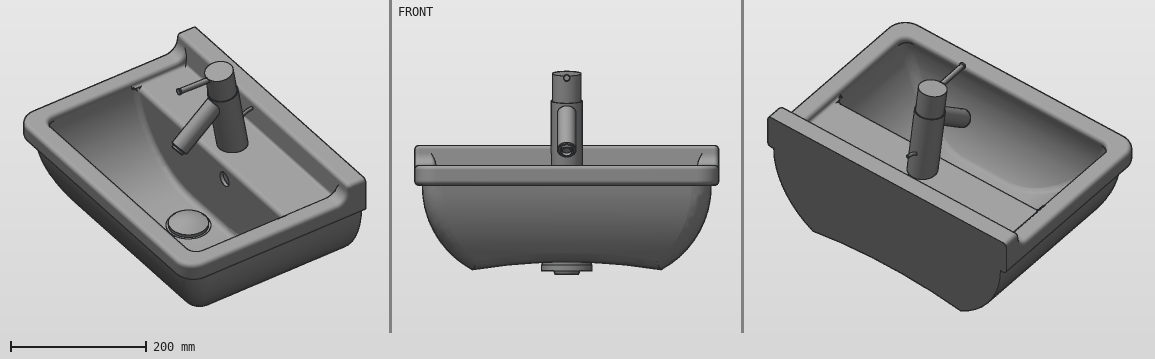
import cadquery as cq
import math


BASIN_WIDTH = 450
BASIN_DEPTH = 320.0
RIM_HEIGHT = 29.5
RIM_CORNER_RADIUS = 31.5
EDGE_RADIUS = 6.8
SPLASH_HEIGHT = 29.5
SPLASH_DRAFT = 7
COVE_RADIUS = 20.0
COVE_END = 51.8
COVE_TOP = COVE_RADIUS * (1 - math.sin(math.radians(SPLASH_DRAFT)))

SHELL_HALF_WIDTH = 213.8
SHELL_BULGE_X = 194.0
SHELL_BULGE_Z = -102.0
RIDGE_X = 139.5
RIDGE_Z = -154.5
BELLY_Z = -142.5
SHELL_FRONT = 306
SHELL_FRONT_MIDDLE = 288.5
SHELL_FRONT_MIDDLE_Z = -96.5
SHELL_FRONT_FOOT = 249.8
SHELL_CORNER_RADIUS = 29.2

OPENING_HALF_WIDTH = 193.5
OPENING_FRONT = 288
OPENING_CORNER_RADIUS = 15.8
DECK_Z = -9.5
DECK_FILLET = 4.5
DECK_FRONT = 123.8
DECK_LIP_RADIUS = 7.5
FLOOR_Z = -128.2
FLOOR_HALF_WIDTH = 47.2
FLOOR_SIDE_RADIUS = 150.8
BOWL_FRONT_RADIUS = 130.5
BOWL_FRONT_FOOT = 236.2
BOWL_SEAM_RADIUS = 13.5
BOWL_WALL_FILLET = 9.5

OVERFLOW_DIAMETER = 23.5
OVERFLOW_DEPTH = 6.0
OVERFLOW_X = 35.5
OVERFLOW_Z = -37.0

TAP_Y = -86.5
TAP_TILT = 9.5
TAP_DIAMETER = 46.0
TAP_LENGTH = 96.8
CAP_DIAMETER = 42.8
CAP_LENGTH = 41.0

SPOUT_DIAMETER = 28.0
SPOUT_SLOPE = 40
SPOUT_END_Y = -181.0
SPOUT_END_Z = 22.5
SPOUT_LENGTH = 85.5
SPOUT_END_CHAMFER = 1.5
AERATOR_DIAMETER = 20.0
AERATOR_BORE = 15.0
AERATOR_REACH = 4.0
AERATOR_BORE_DEPTH = 6.8

LEVER_DIAMETER = 8.0
LEVER_SLOPE = 1.5
LEVER_START_Y = -117
LEVER_START_Z = 128.0
LEVER_LENGTH = 65.0
LEVER_TIP_DIAMETER = 9.5
LEVER_TIP_LENGTH = 2.5
ROD_DIAMETER = 5.0
ROD_END = (-49.5, 41.0)
ROD_BEND = (-60.5, 38.5)
ROD_FOOT = (-74.2, 26.0)

DRAIN_Y = -164.0
DRAIN_RING_DIAMETER = 66.5
DRAIN_RING_HEIGHT = 4.5
DRAIN_TUBE_DIAMETER = 52.0
DRAIN_SHOULDER_DIAMETER = 73.0
DRAIN_FLANGE_DIAMETER = 75.0
DRAIN_FLANGE_TOP = -147.0
DRAIN_FLANGE_BOTTOM = -156.0
NUT_TOP_DIAMETER = 38.2
NUT_END_DIAMETER = 35.0
NUT_BOTTOM = -161.0
PLUG_DIAMETER = 60.0
PLUG_SEAT_DEPTH = 2.2
PLUG_EDGE_HEIGHT = 5.0
PLUG_DOME_HEIGHT = 6.8


def nearest_to(x, y, z):
    return cq.selectors.NearestToPointSelector((x, y, z))


def cylinder(start, axis, diameter, length):
    return cq.Workplane(cq.Solid.makeCylinder(diameter / 2, length, start, axis))


def splash_face(z):
    """Depth of the sloped splash-back face at height z; it runs tangent into the cove."""
    draft = math.radians(SPLASH_DRAFT)
    tangent_depth = COVE_END - COVE_RADIUS * math.cos(draft)
    return tangent_depth + (COVE_TOP - z) * math.tan(draft)


def side_profile(outline):
    """Close an outline in the YZ plane and extrude it over the full basin width."""
    return outline.close().extrude(BASIN_WIDTH / 2, both=True)


def rim_block():
    """Rim slab with the raised splash-back; a cove leads from one to the other."""
    rim = side_profile(
        cq.Workplane("YZ")
        .moveTo(0, SPLASH_HEIGHT)
        .lineTo(-splash_face(SPLASH_HEIGHT), SPLASH_HEIGHT)
        .lineTo(-splash_face(COVE_TOP), COVE_TOP)
        .radiusArc((-COVE_END, 0), COVE_RADIUS)
        .lineTo(-BASIN_DEPTH, 0)
        .lineTo(-BASIN_DEPTH, -RIM_HEIGHT)
        .lineTo(0, -RIM_HEIGHT)
    )
    rim = rim.edges("|Z and <Y").fillet(RIM_CORNER_RADIUS)
    rim = rim.edges(nearest_to(0, -splash_face(SPLASH_HEIGHT), SPLASH_HEIGHT)).fillet(EDGE_RADIUS)
    rim = rim.faces("<Z").edges("not >Y").fillet(EDGE_RADIUS)
    return rim.edges(nearest_to(0, -BASIN_DEPTH, 0)).fillet(EDGE_RADIUS)


def bowl_shell():
    """Solid underside: a cross-section with a hollow belly, cut to a curved front."""
    section = (
        cq.Workplane("XZ")
        .moveTo(-SHELL_HALF_WIDTH, -RIM_HEIGHT)
        .threePointArc((-SHELL_BULGE_X, SHELL_BULGE_Z), (-RIDGE_X, RIDGE_Z))
        .threePointArc((0, BELLY_Z), (RIDGE_X, RIDGE_Z))
        .threePointArc((SHELL_BULGE_X, SHELL_BULGE_Z), (SHELL_HALF_WIDTH, -RIM_HEIGHT))
        .close()
        .extrude(BASIN_DEPTH)
    )
    front = side_profile(
        cq.Workplane("YZ")
        .moveTo(0, -RIM_HEIGHT)
        .lineTo(-SHELL_FRONT, -RIM_HEIGHT)
        .threePointArc((-SHELL_FRONT_MIDDLE, SHELL_FRONT_MIDDLE_Z), (-SHELL_FRONT_FOOT, RIDGE_Z))
        .lineTo(0, RIDGE_Z)
    )
    return section.intersect(front).edges("not(|Y or >Y or >Z)").fillet(SHELL_CORNER_RADIUS)


def opening(back):
    """Recess of deck depth, from the given distance off the wall to the front of the opening."""
    return (
        cq.Workplane("XY", origin=(0, 0, DECK_Z))
        .moveTo(0, -(back + OPENING_FRONT) / 2)
        .rect(2 * OPENING_HALF_WIDTH, OPENING_FRONT - back)
        .extrude(SPLASH_HEIGHT - DECK_Z)
        .edges("|Z and <Y")
        .fillet(OPENING_CORNER_RADIUS)
    )


def bowl_cavity():
    """Inside of the bowl: flat floor strip, rising sides, curved front, upright rear wall."""
    section = (
        cq.Workplane("XZ")
        .moveTo(-FLOOR_HALF_WIDTH, FLOOR_Z)
        .lineTo(FLOOR_HALF_WIDTH, FLOOR_Z)
        .radiusArc((OPENING_HALF_WIDTH, DECK_Z), -FLOOR_SIDE_RADIUS)
        .lineTo(-OPENING_HALF_WIDTH, DECK_Z)
        .radiusArc((-FLOOR_HALF_WIDTH, FLOOR_Z), -FLOOR_SIDE_RADIUS)
        .close()
        .extrude(BASIN_DEPTH)
    )
    front = side_profile(
        cq.Workplane("YZ")
        .moveTo(-DECK_FRONT, DECK_Z)
        .lineTo(-OPENING_FRONT, DECK_Z)
        .radiusArc((-BOWL_FRONT_FOOT, FLOOR_Z), -BOWL_FRONT_RADIUS)
        .lineTo(-DECK_FRONT, FLOOR_Z)
    )
    cavity = section.intersect(front)
    cavity = cavity.edges("not(|X or |Y or >Y or >Z)").fillet(BOWL_SEAM_RADIUS)
    return cavity.faces(">Y").edges("not >Z").fillet(BOWL_WALL_FILLET)


def splash_bar(rim):
    """Middle stretch of the splash-back, from the deck up, behind the sloped face."""
    behind_face = (
        cq.Workplane("YZ")
        .moveTo(0, SPLASH_HEIGHT)
        .lineTo(-splash_face(SPLASH_HEIGHT), SPLASH_HEIGHT)
        .lineTo(-splash_face(DECK_Z), DECK_Z)
        .lineTo(0, DECK_Z)
        .close()
        .extrude(OPENING_HALF_WIDTH + EDGE_RADIUS, both=True)
    )
    return rim.intersect(behind_face)


def overflow_recess():
    centre = cq.Vector(OVERFLOW_X, -DECK_FRONT, OVERFLOW_Z)
    return cylinder(centre, cq.Vector(0, 1, 0), OVERFLOW_DIAMETER, OVERFLOW_DEPTH)


def make_basin():
    rim = rim_block()
    basin = rim.union(bowl_shell()).cut(opening(0))
    basin = basin.edges(nearest_to(0, -OPENING_FRONT, 0)).fillet(EDGE_RADIUS)
    basin = basin.union(splash_bar(rim))
    deck_outline = basin.faces(nearest_to(0, -DECK_FRONT, DECK_Z)).edges("not <Y")
    basin = deck_outline.fillet(DECK_FILLET)
    basin = basin.cut(opening(DECK_FRONT + BOWL_WALL_FILLET)).cut(bowl_cavity())
    basin = basin.edges(nearest_to(0, -DECK_FRONT, DECK_Z)).fillet(DECK_LIP_RADIUS)
    return basin.cut(overflow_recess())


def tilted(degrees):
    """Direction in the YZ plane, leaning from straight up towards the front."""
    angle = math.radians(degrees)
    return cq.Vector(0, -math.sin(angle), math.cos(angle))


TAP_AXIS = tilted(TAP_TILT)
TAP_BASE = cq.Vector(0, TAP_Y, 0)
TAP_TOP = TAP_BASE + TAP_AXIS * TAP_LENGTH
SPOUT_AXIS = tilted(90 + SPOUT_SLOPE)
SPOUT_END = cq.Vector(0, SPOUT_END_Y, SPOUT_END_Z)


def make_tap_column():
    """Tilted column standing flat on the deck, with its top square to its axis."""
    foot_overrun = TAP_DIAMETER / 2
    start = TAP_BASE - TAP_AXIS * foot_overrun
    column = cylinder(start, TAP_AXIS, TAP_DIAMETER, TAP_LENGTH + foot_overrun)
    below_deck = (
        cq.Workplane("XY", origin=(0, TAP_Y, DECK_Z))
        .rect(2 * TAP_DIAMETER, 2 * TAP_DIAMETER)
        .extrude(-2 * TAP_DIAMETER)
    )
    return column.cut(below_deck)


def make_spout():
    """Sloping tube whose narrower, bored tip is the aerator."""
    root = SPOUT_END - SPOUT_AXIS * SPOUT_LENGTH
    tip = SPOUT_END + SPOUT_AXIS * AERATOR_REACH
    bore_start = tip - SPOUT_AXIS * AERATOR_BORE_DEPTH
    tube = cylinder(root, SPOUT_AXIS, SPOUT_DIAMETER, SPOUT_LENGTH)
    aerator = cylinder(SPOUT_END, SPOUT_AXIS, AERATOR_DIAMETER, AERATOR_REACH)
    bore = cylinder(bore_start, SPOUT_AXIS, AERATOR_BORE, AERATOR_BORE_DEPTH)
    tube = tube.edges("<Y").chamfer(SPOUT_END_CHAMFER)
    return tube.union(aerator).cut(bore)


def make_cap():
    return cylinder(TAP_TOP, TAP_AXIS, CAP_DIAMETER, CAP_LENGTH)


def make_lever():
    """Rod sunk into the cap, with a slightly thicker tip."""
    axis = tilted(90 - LEVER_SLOPE)
    start = cq.Vector(0, LEVER_START_Y, LEVER_START_Z)
    tip_start = start + axis * (LEVER_LENGTH - LEVER_TIP_LENGTH)
    shaft = cylinder(start, axis, LEVER_DIAMETER, LEVER_LENGTH)
    tip = cylinder(tip_start, axis, LEVER_TIP_DIAMETER, LEVER_TIP_LENGTH)
    return shaft.union(tip)


def make_popup_rod():
    path = cq.Workplane("YZ").moveTo(*ROD_END).threePointArc(ROD_BEND, ROD_FOOT)
    start = cq.Workplane("XZ", origin=(0, *ROD_END))
    return start.circle(ROD_DIAMETER / 2).sweep(path)


def drain_disc(top, bottom, diameter):
    return cylinder(cq.Vector(0, DRAIN_Y, bottom), cq.Vector(0, 0, 1), diameter, top - bottom)


def make_plug():
    """Domed stopper seated in the drain ring, its edge standing above the floor."""
    radius = PLUG_DIAMETER / 2
    seat = FLOOR_Z - PLUG_SEAT_DEPTH
    edge = FLOOR_Z + PLUG_EDGE_HEIGHT
    dome_radius = (radius**2 + PLUG_DOME_HEIGHT**2) / (2 * PLUG_DOME_HEIGHT)
    return (
        cq.Workplane("XZ", origin=(0, DRAIN_Y, 0))
        .moveTo(0, seat)
        .lineTo(radius, seat)
        .lineTo(radius, edge)
        .radiusArc((0, edge + PLUG_DOME_HEIGHT), -dome_radius)
        .close()
        .revolve(360, (0, 0, 0), (0, 1, 0))
    )


def make_drain():
    """Ring in the floor, tube through it, flange under the belly and a tapered nut."""
    ring = drain_disc(FLOOR_Z, FLOOR_Z - DRAIN_RING_HEIGHT, DRAIN_RING_DIAMETER)
    tube = drain_disc(FLOOR_Z, DRAIN_FLANGE_BOTTOM, DRAIN_TUBE_DIAMETER)
    shoulder = drain_disc(BELLY_Z, DRAIN_FLANGE_TOP, DRAIN_SHOULDER_DIAMETER)
    flange = drain_disc(DRAIN_FLANGE_TOP, DRAIN_FLANGE_BOTTOM, DRAIN_FLANGE_DIAMETER)
    nut = (
        cq.Workplane("XY", origin=(0, DRAIN_Y, DRAIN_FLANGE_BOTTOM))
        .circle(NUT_TOP_DIAMETER / 2)
        .workplane(offset=NUT_BOTTOM - DRAIN_FLANGE_BOTTOM)
        .circle(NUT_END_DIAMETER / 2)
        .loft()
    )
    return ring.union(tube).union(shoulder).union(flange).union(nut)


lever = make_lever()
popup_rod = make_popup_rod()
cap = make_cap().cut(lever)
column = make_tap_column()
spout = make_spout().cut(column)
column = column.cut(popup_rod)
plug = make_plug()
drain = make_drain().cut(plug)
basin = make_basin().cut(drain).cut(plug)

result = cq.Compound.makeCompound(
    [
        basin.val(),
        column.val(),
        spout.val(),
        cap.val(),
        lever.val(),
        popup_rod.val(),
        plug.val(),
        drain.val(),
    ]
)